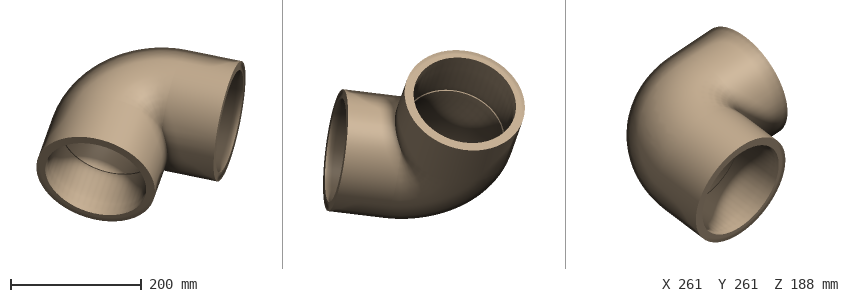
import cadquery as cq
import math

overall = 261.0
outer_diameter = 188.0
socket_diameter = 160.0
bore_diameter = 156.0
leg_length = 85.3
turn_angle = 90

outer_radius = outer_diameter / 2
bore_radius = bore_diameter / 2
bend_radius = overall - leg_length - outer_radius

bend_start = cq.Workplane("XZ", origin=(overall - leg_length, leg_length, 0))


def y_leg(diameter):
    """Straight cylinder from the -Y mouth to the start of the bend."""
    mouth = cq.Workplane("XZ", origin=(outer_radius, 0, 0))
    return mouth.circle(diameter / 2).extrude(-leg_length)


def x_leg(diameter):
    """Straight cylinder from the +X mouth to the end of the bend."""
    mouth = cq.Workplane("YZ", origin=(overall, overall - outer_radius, 0))
    return mouth.circle(diameter / 2).extrude(-leg_length)


def outer_bend():
    """Quarter turn of the outer wall, whose round section is cut off at the turning axis."""
    axis_half_height = math.sqrt(outer_radius**2 - bend_radius**2)
    section = (
        bend_start.moveTo(0, -axis_half_height)
        .threePointArc((-bend_radius - outer_radius, 0), (0, axis_half_height))
        .close()
    )
    return section.revolve(turn_angle, (0, 0), (0, -1))


def bore_bend():
    """Quarter turn of the bore, which stays clear of the turning axis."""
    section = bend_start.moveTo(-bend_radius, 0).circle(bore_radius)
    return section.revolve(turn_angle, (0, 0), (0, -1))


body = outer_bend().union(y_leg(outer_diameter)).union(x_leg(outer_diameter))
sockets = y_leg(socket_diameter).union(x_leg(socket_diameter))
result = body.cut(bore_bend()).cut(sockets)